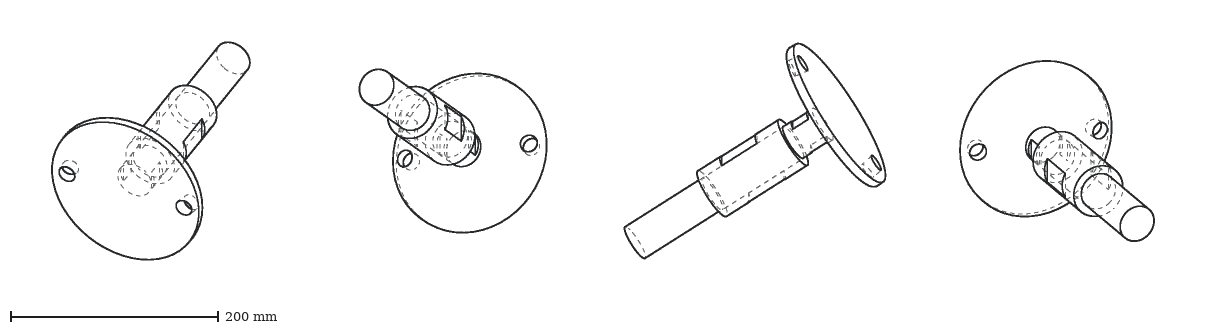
import cadquery as cq
import math

total_length = 239.0
rod_diameter = 36.0

foot_diameter = 158.0
foot_radius = foot_diameter / 2
rim_base_inset = 0.2
rim_taper_height = 4.3
rim_top = 7.0
shoulder_radius = 2.6
cone_top = 20.0

cone_run = foot_radius - shoulder_radius - rod_diameter / 2
cone_rise = cone_top - rim_top
tangent_angle = math.asin(shoulder_radius / math.hypot(cone_run, cone_rise))
cone_slope = math.atan2(cone_rise, cone_run) - tangent_angle

hole_diameter = 16.5
hole_offset = 62.5

neck_flats_width = 29.9
neck_flats_start = 26.3
neck_flats_length = 18.0

sleeve_diameter = 52.0
sleeve_start = 54.3
sleeve_length = 94.6
sleeve_flats_width = 46.0
sleeve_flats_length = 41.0
sleeve_flats_start = sleeve_start + (sleeve_length - sleeve_flats_length) / 2


def cylinder(diameter, start, length):
    """Cylinder on the Y axis, from y = start towards +Y."""
    return cq.Workplane("XZ", origin=(0, start, 0)).circle(diameter / 2).extrude(-length)


def cut_flats(body, diameter, width, start, length):
    """Cut two opposite wrench flats, facing -X and +X, into a round body."""
    for side in (-1, 1):
        block = cq.Workplane("XY").box(diameter, length, diameter)
        centre_x = side * (width + diameter) / 2
        body = body.cut(block.translate((centre_x, start + length / 2, 0)))
    return body


def make_foot_plate():
    """Round plate with a tapered rim, a rounded shoulder and a conical top."""
    shoulder_centre_r = foot_radius - shoulder_radius

    def shoulder_point(angle):
        return (shoulder_centre_r + shoulder_radius * math.cos(angle),
                rim_top + shoulder_radius * math.sin(angle))

    arc_end = math.pi / 2 - cone_slope
    profile = (
        cq.Workplane("XY")
        .lineTo(foot_radius - rim_base_inset, 0)
        .lineTo(foot_radius, rim_taper_height)
        .lineTo(foot_radius, rim_top)
        .threePointArc(shoulder_point(arc_end / 2), shoulder_point(arc_end))
        .lineTo(rod_diameter / 2, cone_top)
        .lineTo(0, cone_top)
        .close()
    )
    return profile.revolve(360, (0, 0, 0), (0, 1, 0))


def cut_fixing_holes(plate):
    """Drill the two holes, which lean outwards so that they are square to the cone."""
    for side in (-1, 1):
        axis = cq.Vector(side * math.sin(cone_slope), math.cos(cone_slope), 0)
        centre = cq.Vector(side * hole_offset, 0, 0)
        drill = cq.Solid.makeCylinder(
            hole_diameter / 2, 4 * cone_top, centre - axis * (2 * cone_top), axis
        )
        plate = plate.cut(cq.Workplane(obj=drill))
    return plate


def make_foot():
    """Foot plate and rod in one piece."""
    rod = cylinder(rod_diameter, 0, total_length)
    rod = cut_flats(rod, rod_diameter, neck_flats_width, neck_flats_start, neck_flats_length)
    return cut_fixing_holes(make_foot_plate()).union(rod)


def make_sleeve():
    """Sleeve that fits on the rod, with two wrench flats at mid length."""
    sleeve = cylinder(sleeve_diameter, sleeve_start, sleeve_length)
    sleeve = cut_flats(
        sleeve, sleeve_diameter, sleeve_flats_width, sleeve_flats_start, sleeve_flats_length
    )
    return sleeve.cut(cylinder(rod_diameter, sleeve_start, sleeve_length))


foot = make_foot()
sleeve = make_sleeve()
result = cq.Compound.makeCompound([foot.val(), sleeve.val()])